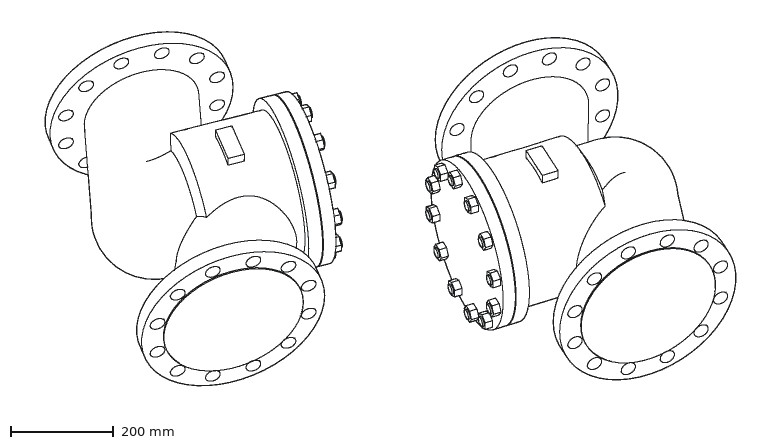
import cadquery as cq
import math


face_to_face = 600.0
end_flange_diameter = 375.0
raised_face_radius = 143.0
raised_face_height = 3.0
end_flange_thickness = 31.0
end_hole_circle_radius = 160.0
end_hole_diameter = 30.0
end_hole_count = 12

pipe_radius = 113.5
inlet_slope = 15.0
outlet_slope = 25.0

body_radius = 149.5
body_bottom_y = 6.5
bowl_radius = 122.5
bowl_center_y = -63.0
shoulder_drop = 13.0

cover_diameter = 345.0
body_flange_bottom_y = 196.0
body_flange_thickness = 28.0
gasket_radius = 144.0
gasket_thickness = 2.0
cover_thickness = 26.0

stud_count = 12
stud_circle_radius = 150.0
stud_radius = 10.0
stud_projection = 3.3
nut_width_across_flats = 30.0
nut_height = 15.5
nut_turn = 15.0

pad_width = 77.0
pad_length = 33.5
pad_center_y = 92.5
pad_top_z = 164.5

raised_face_x = face_to_face / 2
flange_face_x = raised_face_x - raised_face_height
flange_back_x = flange_face_x - end_flange_thickness
body_flange_top_y = body_flange_bottom_y + body_flange_thickness
cover_bottom_y = body_flange_top_y + gasket_thickness
cover_top_y = cover_bottom_y + cover_thickness


def disc_along_y(radius, bottom_y, height):
    """Round disc on the body axis, from bottom_y towards +Y."""
    return cq.Workplane("XZ", origin=(0, bottom_y, 0)).circle(radius).extrude(-height)


def ring_angles(count):
    """Evenly spaced angles that straddle the axes, in radians."""
    return [math.radians((i + 0.5) * 360 / count) for i in range(count)]


def make_end_flange(side):
    """Drilled flange with a raised face; side is -1 for inlet, +1 for outlet."""
    holes = [
        (end_hole_circle_radius * math.cos(a), end_hole_circle_radius * math.sin(a))
        for a in ring_angles(end_hole_count)
    ]
    flange = (
        cq.Workplane("YZ", origin=(side * flange_back_x, 0, 0))
        .circle(end_flange_diameter / 2)
        .extrude(side * end_flange_thickness)
    )
    raised_face = (
        cq.Workplane("YZ", origin=(side * flange_face_x, 0, 0))
        .circle(raised_face_radius)
        .extrude(side * raised_face_height)
    )
    drills = (
        cq.Workplane("YZ", origin=(side * flange_back_x, 0, 0))
        .pushPoints(holes)
        .circle(end_hole_diameter / 2)
        .extrude(side * (end_flange_thickness + raised_face_height))
    )
    return flange.union(raised_face).cut(drills)


def make_pipe_leg(side, slope, rise):
    """Sloping pipe from a flange to the body axis; rise is +1 to climb inwards, -1 to drop."""
    angle = math.radians(slope)
    direction = cq.Vector(-side * math.cos(angle), rise * math.sin(angle), 0)
    overrun = pipe_radius * math.tan(angle)
    start = cq.Vector(side * flange_back_x, 0, 0) - direction * overrun
    length = flange_back_x / math.cos(angle) + overrun
    pipe = cq.Workplane(cq.Solid.makeCylinder(pipe_radius, length, start, direction))
    trim_size = 2 * end_flange_diameter
    trim = cq.Workplane("XY").box(trim_size, trim_size, trim_size)
    return pipe.cut(trim.translate((side * (flange_back_x + trim_size / 2), 0, 0)))


def make_body():
    """Cylinder, conical shoulder and hemispherical bowl as one turned profile."""
    bowl_mid = bowl_radius * math.sqrt(0.5)
    return (
        cq.Workplane("XY")
        .moveTo(0, bowl_center_y - bowl_radius)
        .threePointArc((bowl_mid, bowl_center_y - bowl_mid), (bowl_radius, bowl_center_y))
        .lineTo(bowl_radius, body_bottom_y - shoulder_drop)
        .lineTo(body_radius, body_bottom_y)
        .lineTo(body_radius, body_flange_bottom_y)
        .lineTo(0, body_flange_bottom_y)
        .close()
        .revolve(360, (0, 0, 0), (0, 1, 0))
    )


def make_cover_joint():
    """Body flange and cover with a recessed gasket between them."""
    body_flange = disc_along_y(cover_diameter / 2, body_flange_bottom_y, body_flange_thickness)
    gasket = disc_along_y(gasket_radius, body_flange_top_y, gasket_thickness)
    cover = disc_along_y(cover_diameter / 2, cover_bottom_y, cover_thickness)
    return body_flange.union(gasket).union(cover)


def make_stud_and_nut():
    """Hexagon nut, turned about its own axis, with the stud end standing above it, on the body axis."""
    corner_diameter = nut_width_across_flats / math.cos(math.radians(30))
    nut = (
        cq.Workplane("XZ", origin=(0, cover_top_y, 0))
        .polygon(6, corner_diameter)
        .extrude(-nut_height)
        .rotate((0, 0, 0), (0, 1, 0), nut_turn)
    )
    return nut.union(disc_along_y(stud_radius, cover_top_y, nut_height + stud_projection))


def make_cover_studs():
    """Ring of studs, each turned with its place on the circle."""
    stud = make_stud_and_nut().translate((stud_circle_radius, 0, 0))
    studs = cq.Workplane("XY")
    for angle in ring_angles(stud_count):
        studs = studs.add(stud.rotate((0, 0, 0), (0, 1, 0), math.degrees(angle)))
    return studs.combine()


def make_pad():
    """Flat name plate pad, sunk into the body so that its underside follows the cylinder."""
    return cq.Workplane("XY", origin=(0, pad_center_y, 0)).rect(pad_width, pad_length).extrude(pad_top_z)


result = (
    make_body()
    .union(make_pipe_leg(-1, inlet_slope, -1))
    .union(make_pipe_leg(1, outlet_slope, 1))
    .union(make_end_flange(-1))
    .union(make_end_flange(1))
    .union(make_cover_joint())
    .union(make_cover_studs())
    .union(make_pad())
)